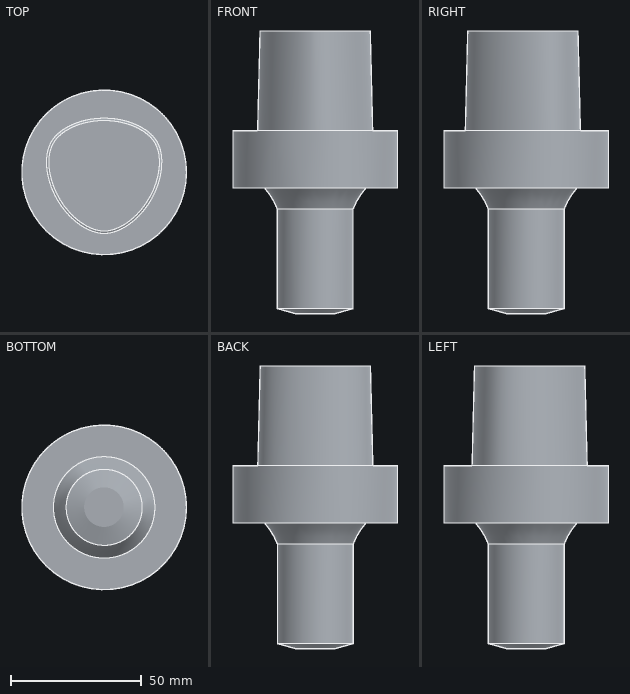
import cadquery as cq
import math

total_height = 108.0
end_bevel_height = 1.9
neck_bottom = 40.0
flange_bottom = 48.0
flange_top = 70.0

flange_diameter = 63.0
stem_diameter = 29.0
tip_diameter = 15.1
neck_top_diameter = 38.8
neck_hollow = 0.4

shank_base_diameter = 44.1
shank_top_diameter = 42.2
lobe_eccentricity = 1.3
outline_point_count = 48


def lobed_point(mean_radius, angle):
    """Point of a constant-width outline with one lobe pointing to -Y."""
    e = lobe_eccentricity
    along = mean_radius * math.cos(angle) + e * (2 * math.cos(2 * angle) - math.cos(4 * angle))
    across = mean_radius * math.sin(angle) - e * (2 * math.sin(2 * angle) + math.sin(4 * angle))
    return across, -along


def lobed_wire(diameter, height):
    """Closed smooth outline of the shank, starting at its -Y lobe."""
    points = []
    for i in range(outline_point_count):
        x, y = lobed_point(diameter / 2, 2 * math.pi * i / outline_point_count)
        points.append(cq.Vector(x, y, height))
    return cq.Wire.assembleEdges([cq.Edge.makeSpline(points, periodic=True)])


round_body = (
    cq.Workplane("XZ")
    .moveTo(0, 0)
    .lineTo(tip_diameter / 2, 0)
    .lineTo(stem_diameter / 2, end_bevel_height)
    .lineTo(stem_diameter / 2, neck_bottom)
    .sagittaArc((neck_top_diameter / 2, flange_bottom), neck_hollow)
    .lineTo(flange_diameter / 2, flange_bottom)
    .lineTo(flange_diameter / 2, flange_top)
    .lineTo(0, flange_top)
    .close()
    .revolve(360, (0, 0), (0, 1))
)

shank = cq.Solid.makeLoft(
    [lobed_wire(shank_base_diameter, flange_top), lobed_wire(shank_top_diameter, total_height)],
    True,
)

result = round_body.union(cq.Workplane(obj=shank))